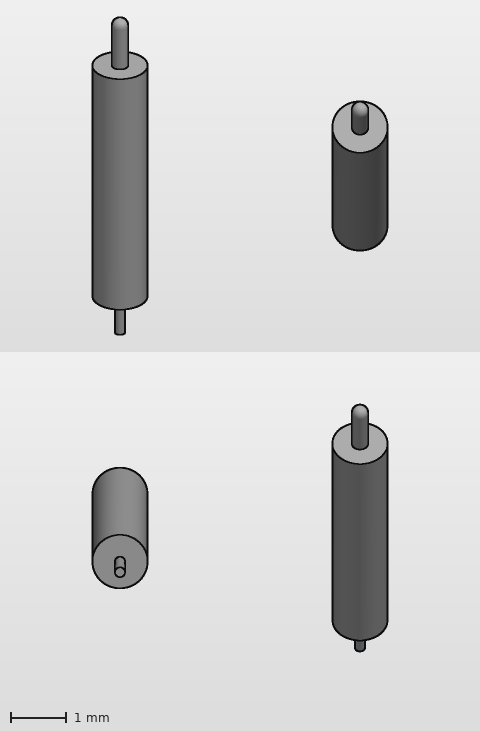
import cadquery as cq

total_length = 6.48
tail_length = 0.75
plunger_exposed_length = 0.97
barrel_length = total_length - tail_length - plunger_exposed_length

barrel_diameter = 0.99
plunger_diameter = 0.3
tail_diameter = 0.18

plunger_radius = plunger_diameter / 2
barrel_top = tail_length + barrel_length


def make_barrel():
    """Solid cylindrical barrel with a thin solder tail underneath."""
    tail = cq.Workplane("XY").circle(tail_diameter / 2).extrude(tail_length)
    body = (
        cq.Workplane("XY")
        .workplane(offset=tail_length)
        .circle(barrel_diameter / 2)
        .extrude(barrel_length)
    )
    return body.union(tail)


def make_plunger():
    """Round plunger standing on the barrel's top face, ending in a hemisphere."""
    shoulder = total_length - plunger_radius
    shank = (
        cq.Workplane("XY")
        .workplane(offset=barrel_top)
        .circle(plunger_radius)
        .extrude(shoulder - barrel_top)
    )
    dome = cq.Workplane("XY").sphere(plunger_radius).translate((0, 0, shoulder))
    return shank.union(dome)


barrel = make_barrel()
plunger = make_plunger()

result = cq.Compound.makeCompound([barrel.val(), plunger.val()])